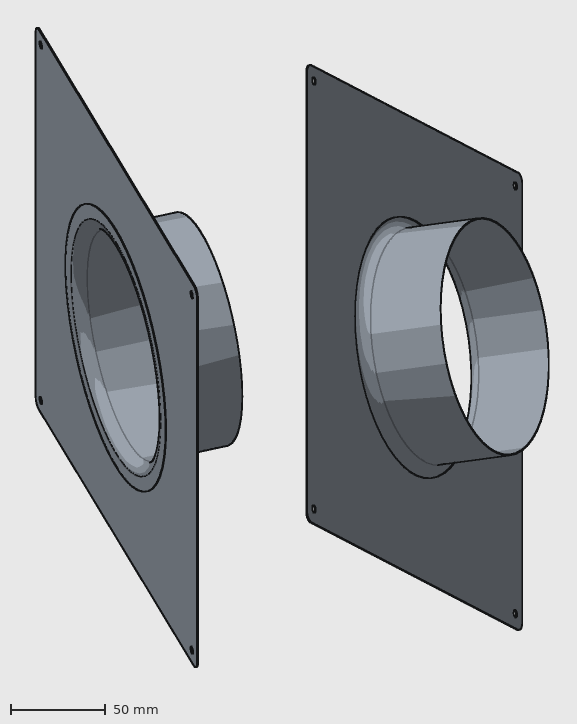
import cadquery as cq
import math

plate_side = 250.0
plate_thickness = 0.7
corner_radius = 5.0
screw_hole_diameter = 4.0
screw_hole_inset = 8.0

sheet_thickness = 0.5
collar_length = 48.5
collar_inner_diameter = 125.2
flare_mouth_diameter = 139.0
flange_diameter = 155.2

inner_radius = collar_inner_diameter / 2
outer_radius = inner_radius + sheet_thickness
mouth_radius = flare_mouth_diameter / 2
flange_radius = flange_diameter / 2
flare_inner_bend = mouth_radius - inner_radius
flare_outer_bend = flare_inner_bend - sheet_thickness


def flare_midpoint(bend_radius):
    """Point halfway along a quarter bend centred above the mouth edge."""
    offset = bend_radius * math.sqrt(0.5)
    return (mouth_radius - offset, flare_inner_bend - offset)


def make_collar():
    """Tube along Y whose front end flares into a flat flange at Y = 0."""
    profile = (
        cq.Workplane("XY")
        .moveTo(flange_radius, 0)
        .lineTo(mouth_radius, 0)
        .threePointArc(flare_midpoint(flare_inner_bend), (inner_radius, flare_inner_bend))
        .lineTo(inner_radius, collar_length)
        .lineTo(outer_radius, collar_length)
        .lineTo(outer_radius, flare_inner_bend)
        .threePointArc(flare_midpoint(flare_outer_bend), (mouth_radius, sheet_thickness))
        .lineTo(flange_radius, sheet_thickness)
        .close()
    )
    return profile.revolve(360, (0, 0, 0), (0, 1, 0))


def make_plate():
    """Rounded square plate lying against the back of the collar flange."""
    screw_spacing = plate_side - 2 * screw_hole_inset
    plate = (
        cq.Workplane("XZ", origin=(0, sheet_thickness, 0))
        .rect(plate_side, plate_side)
        .extrude(-plate_thickness)
        .edges("|Y")
        .fillet(corner_radius)
    )
    screw_holes = (
        cq.Workplane("XZ", origin=(0, sheet_thickness, 0))
        .rect(screw_spacing, screw_spacing, forConstruction=True)
        .vertices()
        .circle(screw_hole_diameter / 2)
        .extrude(-plate_thickness)
    )
    collar_opening = (
        cq.Workplane("XZ", origin=(0, sheet_thickness, 0))
        .circle(mouth_radius)
        .extrude(-plate_thickness)
    )
    return plate.cut(screw_holes).cut(collar_opening)


collar = make_collar()
plate = make_plate()

result = cq.Compound.makeCompound([plate.solids().val(), collar.val()])